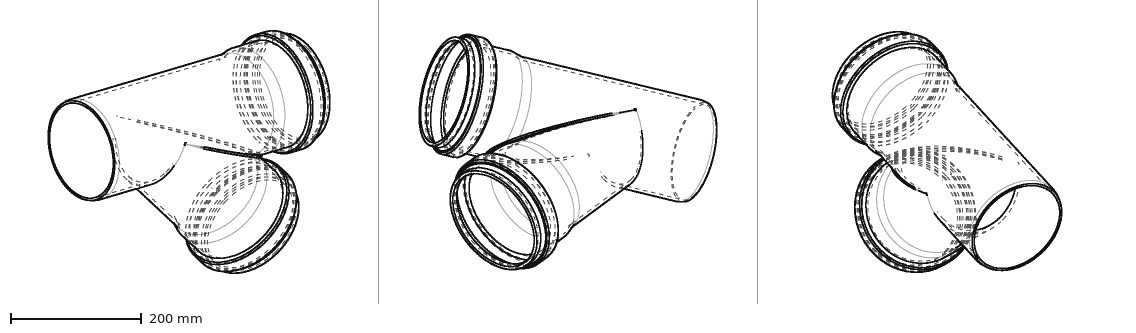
import cadquery as cq

branch_angle = 45.0
socket_reach = 288.5
overall_length = 428.0
spigot_reach = overall_length - socket_reach

pipe_outer = 160.5
pipe_bore = 150.0
socket_outer = 170.0
socket_bore = 161.0
lip_outer = 171.5
ring_outer = 188.7
groove_bore = 179.5
flare_outer = 178.5

lip_depth = 9.5
ring_start = 17.0
ring_end = 44.0
socket_end = 90.7
taper_end = 109.0

wall = (ring_outer - groove_bore) / 2
crotch_web_reach = 231.5
crotch_web_thickness = 3.5
ring_chamfer = 2.5
seam_angle = -60.0
spigot_chamfer_length = 7.3
spigot_chamfer_depth = 1.5


def revolve_profile(outline):
    """Revolve (diameter, y) points, closed along the axis, around the Y axis."""
    points = [(diameter / 2, y) for diameter, y in outline]
    points = [(0, points[0][1])] + points + [(0, points[-1][1])]
    body = cq.Workplane("XY").polyline(points).close().revolve(360, (0, 0, 0), (0, 1, 0))
    return body.rotate((0, 0, 0), (0, 1, 0), seam_angle)


def at_depth(outline):
    """Turn depths below the socket mouth into positions along Y."""
    return [(diameter, socket_reach - depth) for diameter, depth in outline]


def socket_outside():
    ring_edge = ring_outer - 2 * ring_chamfer
    return revolve_profile(at_depth([
        (lip_outer, 0),
        (lip_outer, lip_depth),
        (flare_outer, ring_start),
        (ring_edge, ring_start),
        (ring_outer, ring_start + ring_chamfer),
        (ring_outer, ring_end - ring_chamfer),
        (ring_edge, ring_end),
        (socket_outer, ring_end),
        (socket_outer, socket_end),
        (pipe_outer, taper_end),
    ]) + [(pipe_outer, -spigot_reach)])


def socket_inside():
    return revolve_profile(at_depth([
        (socket_bore, 0),
        (socket_bore, lip_depth),
        (groove_bore, ring_start + wall),
        (groove_bore, ring_end - wall),
        (socket_bore, ring_end - wall),
        (socket_bore, socket_end),
        (pipe_bore, taper_end),
    ]) + [(pipe_bore, -spigot_reach)])


def tilt_to_branch(body):
    return body.rotate((0, 0, 0), (1, 0, 0), -branch_angle)


def spigot_chamfer():
    """Ring of material removed around the plain pipe end."""
    end = -spigot_reach
    tip = pipe_outer - 2 * spigot_chamfer_depth
    start = end + spigot_chamfer_length
    blank = revolve_profile([(ring_outer, end), (ring_outer, start)])
    return blank.cut(revolve_profile([(tip, end), (pipe_outer, start)]))


def branch_region():
    """Quarter space on the branch side of the two planes where the legs meet."""
    size = 2 * overall_length
    block = cq.Workplane("XY").box(size, size, size, centered=(True, False, False))
    return block.rotate((0, 0, 0), (1, 0, 0), -90 - branch_angle / 2)


def crotch_web():
    """Thin half-elliptical plate on the joint plane, filling the corner between the legs."""
    half_width = pipe_outer / 2
    plate = (
        cq.Workplane("XY")
        .ellipse(half_width, crotch_web_reach)
        .extrude(crotch_web_thickness / 2, both=True)
    )
    near_side = cq.Workplane("XY").box(
        pipe_outer, crotch_web_reach, pipe_outer, centered=(True, False, True)
    )
    plate = plate.intersect(near_side).rotate((0, 0, 0), (1, 0, 0), -branch_angle / 2)
    bore = socket_inside()
    return plate.cut(bore).cut(tilt_to_branch(bore))


def hollow_leg():
    return socket_outside().cut(socket_inside())


main_leg = hollow_leg().cut(branch_region()).cut(spigot_chamfer())
branch_leg = tilt_to_branch(hollow_leg()).intersect(branch_region())
result = main_leg.union(branch_leg).union(crotch_web())